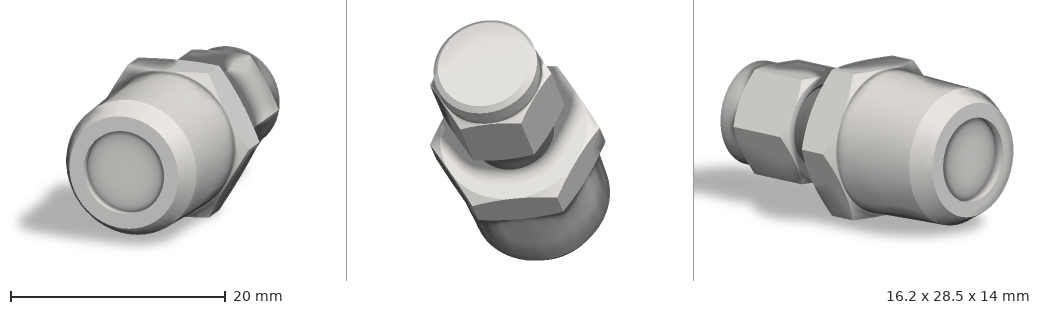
import cadquery as cq
import math

lead_in_end = 1.97
thread_end = 11.03
body_hex_end = 15.02
neck_end = 19.0
nut_hex_end = 26.0
total_length = 28.5

bore_diameter = 8.0
bore_depth = 1.0
tip_radius = 5.42
thread_small_radius = 6.5
thread_large_radius = 6.8
body_hex_flats = 14.0
neck_radius = 3.88
nut_hex_flats = 10.0
countersink_radius = 4.33
countersink_depth = 0.45
collar_radius = 4.93
collar_chamfer_length = 0.45
collar_chamfer_inset = 0.5
hex_chamfer_angle = 30.0


def turned(profile):
    """Revolve (radius, y) points, closed along the Y axis, around that axis."""
    points = [(0, profile[0][1])] + profile + [(0, profile[-1][1])]
    return cq.Workplane("XY").polyline(points).close().revolve(360, (0, 0, 0), (0, 1, 0))


def chamfered_hex(flats, start, end):
    """Hexagon along Y with corners on X and conical chamfers on both ends."""
    corner_radius = flats / math.sqrt(3)
    face_radius = flats / 2
    chamfer_length = (corner_radius - face_radius) * math.tan(math.radians(hex_chamfer_angle))
    prism = (
        cq.Workplane("XZ", origin=(0, start, 0))
        .polygon(6, 2 * corner_radius)
        .extrude(start - end)
    )
    envelope = turned([
        (face_radius, start),
        (corner_radius, start + chamfer_length),
        (corner_radius, end - chamfer_length),
        (face_radius, end),
    ])
    return prism.intersect(envelope)


pipe_end = turned([
    (tip_radius, 0),
    (thread_small_radius, lead_in_end),
    (thread_large_radius, thread_end),
])

body_hex = chamfered_hex(body_hex_flats, thread_end, body_hex_end)

countersink_end = neck_end + countersink_depth
countersink = turned([(countersink_radius, neck_end), (neck_radius, countersink_end)])
nut_hex = chamfered_hex(nut_hex_flats, neck_end, nut_hex_end).cut(countersink)

neck = turned([(neck_radius, body_hex_end), (neck_radius, countersink_end)])

collar = turned([
    (collar_radius, nut_hex_end),
    (collar_radius, total_length - collar_chamfer_length),
    (collar_radius - collar_chamfer_inset, total_length),
])

bore = turned([(bore_diameter / 2, 0), (bore_diameter / 2, bore_depth)])

result = pipe_end.union(body_hex).union(neck).union(nut_hex).union(collar).cut(bore)